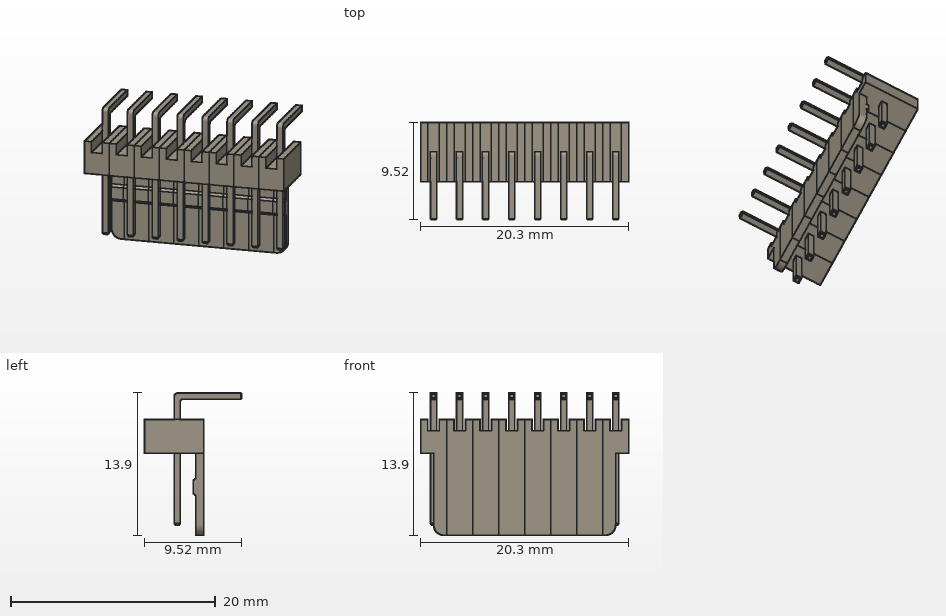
import cadquery as cq


module_count = 8
pitch = 2.54

block_depth = 5.8
block_height = 3.3
slot_width = 1.1
slot_depth = 1.1

plate_thickness = 0.8
plate_height = 8.01
plate_corner_radius = 1.0
end_plate_setback = pitch / 2

ridge_height = 0.25
ridge_center_z = 4.72
ridge_base_width = 1.72

pin_size = 0.62
pin_center_y = 2.6
pin_bottom_z = 0.98
pin_top_z = 13.9
pin_reach = 3.72
bend_outer_radius = 0.38
bend_inner_radius = 0.22
pin_tip_inset = 0.13
pin_lower_tip_length = 0.2

block_top_z = plate_height + block_height
slot_floor_z = block_top_z - slot_depth
row_start_x = -module_count * pitch / 2


def make_box(x_range, y_range, z_range):
    """Box spanning the given (low, high) ranges."""
    lows, highs = zip(x_range, y_range, z_range)
    sizes = [high - low for low, high in zip(lows, highs)]
    return cq.Workplane("XY").box(*sizes, centered=False).translate(lows)


def make_block(center_x):
    """Block with an open slot running front to back along its top."""
    block = make_box(
        (center_x - pitch / 2, center_x + pitch / 2), (0, block_depth), (plate_height, block_top_z)
    )
    slot = make_box(
        (center_x - slot_width / 2, center_x + slot_width / 2), (0, block_depth), (slot_floor_z, block_top_z)
    )
    return block.cut(slot)


def make_plate(left_x, right_x):
    """Latch plate profile in the YZ plane, extruded along X."""
    base_half = ridge_base_width / 2
    crest_half = base_half - ridge_height
    crest_y = plate_thickness + ridge_height
    profile = [
        (0, 0),
        (plate_thickness, 0),
        (plate_thickness, ridge_center_z - base_half),
        (crest_y, ridge_center_z - crest_half),
        (crest_y, ridge_center_z + crest_half),
        (plate_thickness, ridge_center_z + base_half),
        (plate_thickness, plate_height),
        (0, plate_height),
    ]
    outline = cq.Workplane("YZ", origin=(left_x, 0, 0)).polyline(profile).close()
    return outline.extrude(right_x - left_x)


def make_pin(center_x):
    """Square pin rising through the block, then bent forward, with tapered tips."""
    half = pin_size / 2
    x_range = (center_x - half, center_x + half)
    back_y = pin_center_y + half
    upright = make_box(x_range, (pin_center_y - half, back_y), (pin_bottom_z, pin_top_z))
    arm = make_box(x_range, (-pin_reach, back_y), (pin_top_z - pin_size, pin_top_z))

    arm = arm.faces("<Y").chamfer(pin_tip_inset)
    upright = upright.faces("<Z").chamfer(pin_lower_tip_length, pin_tip_inset)
    pin = upright.union(arm).clean()
    outer_corner = cq.selectors.NearestToPointSelector((center_x, back_y, pin_top_z))
    inner_corner = cq.selectors.NearestToPointSelector(
        (center_x, pin_center_y - half, pin_top_z - pin_size)
    )
    pin = pin.edges(outer_corner).fillet(bend_outer_radius)
    return pin.edges(inner_corner).fillet(bend_inner_radius)


def make_module(index):
    """One module; the plates of the two end modules stop short and have a rounded corner."""
    left_x = row_start_x + index * pitch
    right_x = left_x + pitch
    center_x = left_x + pitch / 2
    if index == 0:
        plate = make_plate(left_x + end_plate_setback, right_x)
        plate = plate.edges("|Y and <X and <Z").fillet(plate_corner_radius)
    elif index == module_count - 1:
        plate = make_plate(left_x, right_x - end_plate_setback)
        plate = plate.edges("|Y and >X and <Z").fillet(plate_corner_radius)
    else:
        plate = make_plate(left_x, right_x)
    return make_block(center_x).union(plate).union(make_pin(center_x))


modules = [make_module(index) for index in range(module_count)]
result = cq.Compound.makeCompound([module.solids().val() for module in modules])